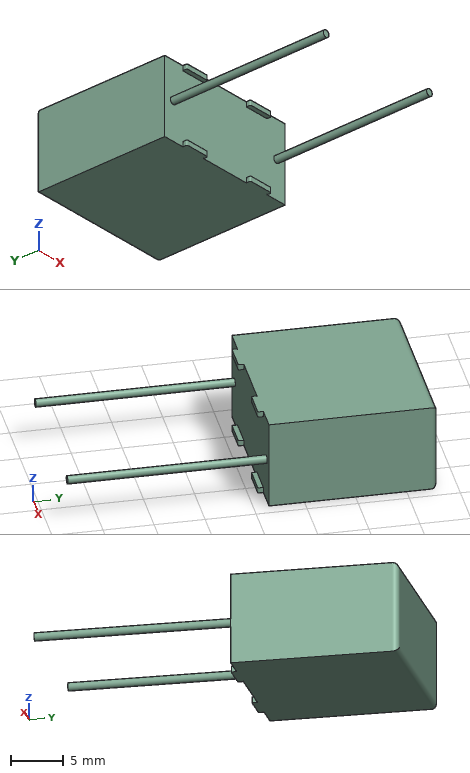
import cadquery as cq

WIDTH = 17.5
HEIGHT = 9.0
TOTAL_LENGTH = 36.0
LEAD_LENGTH = 19.5
DEPTH = TOTAL_LENGTH - LEAD_LENGTH
BACK_FILLET = 0.6

FOOT_INNER_X = 3.1
FOOT_OUTER_X = 6.12
FOOT_LENGTH = 0.55
FOOT_THICKNESS = 0.58
FOOT_EDGE_FILLET = 0.15

LEAD_PITCH = 15.0
LEAD_DIAMETER = 0.83


def make_foot(side_x, side_z):
    """One foot in the corner quadrant given by the signs, its upright edges rounded at the tip."""
    center_x = side_x * (FOOT_INNER_X + FOOT_OUTER_X) / 2
    center_z = side_z * (HEIGHT - FOOT_THICKNESS) / 2
    return (
        cq.Workplane("XY")
        .box(FOOT_OUTER_X - FOOT_INNER_X, FOOT_LENGTH, FOOT_THICKNESS)
        .edges("|Z and <Y")
        .fillet(FOOT_EDGE_FILLET)
        .translate((center_x, -FOOT_LENGTH / 2, center_z))
    )


def make_housing():
    """Block with a rounded back rim and four feet on the lead face."""
    housing = (
        cq.Workplane("XY")
        .box(WIDTH, DEPTH, HEIGHT)
        .translate((0, DEPTH / 2, 0))
        .faces(">Y")
        .edges()
        .fillet(BACK_FILLET)
    )
    for side_x in (-1, 1):
        for side_z in (-1, 1):
            housing = housing.union(make_foot(side_x, side_z))
    return housing


def make_lead(side_x):
    """Straight round wire standing on the lead face and pointing toward -Y."""
    return (
        cq.Workplane("XZ")
        .center(side_x * LEAD_PITCH / 2, 0)
        .circle(LEAD_DIAMETER / 2)
        .extrude(LEAD_LENGTH)
    )


housing = make_housing()
leads = [make_lead(side_x).val() for side_x in (-1, 1)]

result = cq.Compound.makeCompound([housing.val(), *leads])